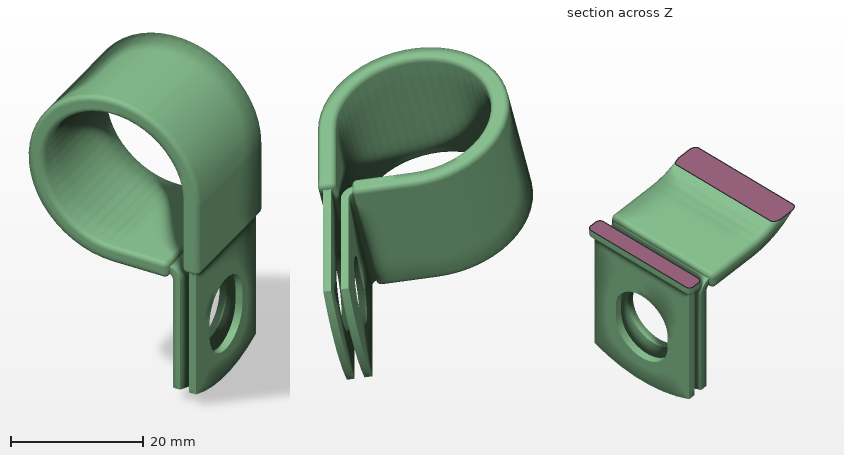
import cadquery as cq
import math

strap_width = 19.05
strap_thickness = 1.211
cushion_thickness = 0.79375
bore_radius = 11.906
lower_sleeve_end = 9.40
side_sleeve_end = -12.70

tab_gap = 1.5
bend_inner_radius = strap_thickness
tab_tip_z = -36.51
tab_tip_rise = 2.0
bolt_hole_diameter = 10.4
bolt_slot_length = 12.7
bolt_hole_z = -25.42

strap_inner_radius = bore_radius + cushion_thickness
strap_outer_radius = strap_inner_radius + strap_thickness
sleeve_outer_radius = strap_outer_radius + cushion_thickness
sleeve_width = strap_width + 2 * cushion_thickness


def hook(inner_radius, outer_radius, side_end, lower_end, width):
    """Three-quarter loop with one straight leg going down at +X and one going +X at the bottom."""
    diagonal = math.sqrt(0.5)
    return (
        cq.Workplane("XZ", origin=(0, width / 2, 0))
        .moveTo(outer_radius, side_end)
        .lineTo(outer_radius, 0)
        .threePointArc((-outer_radius * diagonal, outer_radius * diagonal), (0, -outer_radius))
        .lineTo(lower_end, -outer_radius)
        .lineTo(lower_end, -inner_radius)
        .lineTo(0, -inner_radius)
        .threePointArc((-inner_radius * diagonal, inner_radius * diagonal), (inner_radius, 0))
        .lineTo(inner_radius, side_end)
        .close()
        .extrude(width)
    )


def rubber_sleeve():
    """Sleeve around the strap, rounded on every sharp edge by the cushion thickness."""
    sleeve = hook(bore_radius, sleeve_outer_radius, side_sleeve_end, lower_sleeve_end, sleeve_width)
    mid_radius = (bore_radius + sleeve_outer_radius) / 2
    lower_end_face = cq.selectors.NearestToPointSelector((lower_sleeve_end, 0, -mid_radius))
    side_end_face = cq.selectors.NearestToPointSelector((mid_radius, 0, side_sleeve_end))
    rims = sleeve.faces("<Y or >Y").edges()
    lower_end_edges = sleeve.faces(lower_end_face).edges("|Y")
    side_end_edges = sleeve.faces(side_end_face).edges("|Y")
    return rims.add(lower_end_edges).add(side_end_edges).fillet(cushion_thickness)


def bent_strap():
    """Metal strap: the loop, the bend under the lower leg and the two hanging tabs."""
    tab_outer_x = strap_inner_radius - tab_gap
    tab_inner_x = tab_outer_x - strap_thickness
    bend_outer_radius = bend_inner_radius + strap_thickness
    bend_x = tab_outer_x - bend_outer_radius
    bend_z = -strap_inner_radius - bend_outer_radius

    loop = hook(strap_inner_radius, strap_outer_radius, tab_tip_z, bend_x, strap_width)
    bent_tab = (
        cq.Workplane("XZ", origin=(0, strap_width / 2, 0))
        .moveTo(bend_x, -strap_inner_radius)
        .radiusArc((tab_outer_x, bend_z), bend_outer_radius)
        .lineTo(tab_outer_x, tab_tip_z)
        .lineTo(tab_inner_x, tab_tip_z)
        .lineTo(tab_inner_x, bend_z)
        .radiusArc((bend_x, -strap_outer_radius), -bend_inner_radius)
        .close()
        .extrude(strap_width)
    )
    return loop.union(bent_tab)


def strap_outline():
    """Strap shape seen along X: straight sides and a curved tip, used to trim both tabs."""
    half_width = strap_width / 2
    corner_z = tab_tip_z + tab_tip_rise
    return (
        cq.Workplane("YZ")
        .moveTo(-half_width, strap_outer_radius)
        .lineTo(-half_width, corner_z)
        .threePointArc((0, tab_tip_z), (half_width, corner_z))
        .lineTo(half_width, strap_outer_radius)
        .close()
        .extrude(strap_outer_radius, both=True)
    )


def bolt_openings():
    """Cutters: a round hole in the bent tab and a concentric vertical slot in the side tab."""
    gap_middle_x = strap_inner_radius - tab_gap / 2
    round_hole = (
        cq.Workplane("YZ")
        .center(0, bolt_hole_z)
        .circle(bolt_hole_diameter / 2)
        .extrude(gap_middle_x)
    )
    slot = (
        cq.Workplane("YZ", origin=(gap_middle_x, 0, 0))
        .center(0, bolt_hole_z)
        .slot2D(bolt_slot_length, bolt_hole_diameter, angle=90)
        .extrude(sleeve_outer_radius - gap_middle_x)
    )
    return round_hole.union(slot)


strap = bent_strap().intersect(strap_outline()).cut(bolt_openings())
result = rubber_sleeve().union(strap)